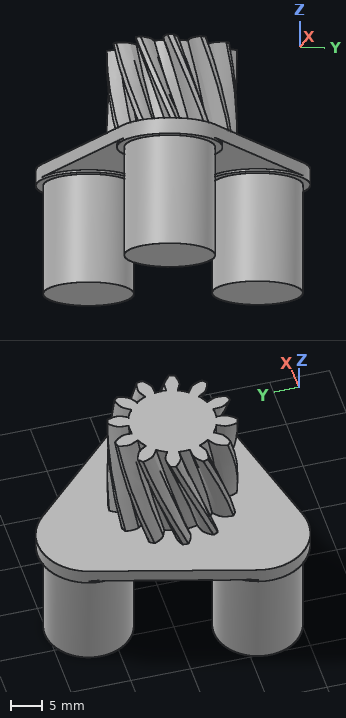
import cadquery as cq
import math

overall_width = 43.3
pad_diameter = 17.0
pin_diameter = 14.65
pin_length = 18.0
pad_thickness = 2.6
web_thickness = 2.2
lobe_angles = [105, 225, 345]
tangent_angle = 60

lobe_circle_radius = (overall_width - pad_diameter) / (
    math.cos(math.radians(lobe_angles[2])) - math.cos(math.radians(lobe_angles[1]))
)

tooth_count = 12
gear_module = 1.5
pressure_angle = math.radians(20)
gear_height = 17.65
gear_twist = 41.0
root_gap_half_angle = math.radians(7.3)
flank_steps = 5

pitch_radius = gear_module * tooth_count / 2
base_radius = pitch_radius * math.cos(pressure_angle)
tip_radius = pitch_radius + gear_module
root_radius = pitch_radius - 1.25 * gear_module
tooth_pitch = 2 * math.pi / tooth_count

pad_bottom = pin_length
web_top = pin_length + pad_thickness
web_bottom = web_top - web_thickness


def polar(radius, angle):
    return (radius * math.cos(angle), radius * math.sin(angle))


def involute_angle(radius):
    """Polar angle swept by an involute between the base circle and radius."""
    roll = math.sqrt(max((radius / base_radius) ** 2 - 1, 0))
    return roll - math.atan(roll)


def tooth_half_angle(radius):
    return tooth_pitch / 4 + involute_angle(pitch_radius) - involute_angle(radius)


def gear_outline():
    """Closed tooth profile, with a tooth gap centred on the +X axis."""
    radii = [
        base_radius + (tip_radius - base_radius) * step / flank_steps
        for step in range(flank_steps + 1)
    ]
    root_half_angle = tooth_pitch / 2 - root_gap_half_angle
    outline = cq.Workplane("XY").workplane(offset=web_top)
    outline = outline.moveTo(*polar(root_radius, root_gap_half_angle))
    for tooth in range(tooth_count):
        center = (tooth + 0.5) * tooth_pitch
        rising = [polar(r, center - tooth_half_angle(r)) for r in radii]
        falling = [polar(r, center + tooth_half_angle(r)) for r in reversed(radii)]
        next_gap = center + tooth_pitch / 2
        outline = (
            outline.lineTo(*rising[0])
            .spline(rising[1:], includeCurrent=True)
            .threePointArc(polar(tip_radius, center), falling[0])
            .spline(falling[1:], includeCurrent=True)
            .lineTo(*polar(root_radius, center + root_half_angle))
            .threePointArc(
                polar(root_radius, next_gap),
                polar(root_radius, next_gap + root_gap_half_angle),
            )
        )
    return outline.close()


def pinion():
    gear = gear_outline().twistExtrude(gear_height, -gear_twist)
    return gear.rotate((0, 0, 0), (0, 0, 1), gear_twist)


def lobe_point(lobe_angle, direction):
    """Point on a lobe's rim, in a direction measured from its outward axis."""
    angle = math.radians(lobe_angle)
    center_x, center_y = polar(lobe_circle_radius, angle)
    rim_x, rim_y = polar(pad_diameter / 2, angle + math.radians(direction))
    return (center_x + rim_x, center_y + rim_y)


def web():
    """Triangular plate whose corners are rounded concentric with the lobes."""
    outline = cq.Workplane("XY").workplane(offset=web_bottom)
    outline = outline.moveTo(*lobe_point(lobe_angles[-1], tangent_angle))
    for angle in lobe_angles:
        outline = outline.lineTo(*lobe_point(angle, -tangent_angle)).threePointArc(
            lobe_point(angle, 0), lobe_point(angle, tangent_angle)
        )
    return outline.close().extrude(web_thickness)


def lobe(angle):
    """Round pad under the web with its pin hanging below."""
    start = lobe_point(angle, -tangent_angle)
    end = lobe_point(angle, tangent_angle)
    pad = (
        cq.Workplane("XY")
        .workplane(offset=pad_bottom)
        .moveTo(*start)
        .threePointArc(lobe_point(angle, 0), end)
        .threePointArc(lobe_point(angle, 180), start)
        .close()
        .extrude(pad_thickness - web_thickness)
    )
    center = polar(lobe_circle_radius, math.radians(angle))
    pin = cq.Workplane("XY").center(*center).circle(pin_diameter / 2).extrude(pin_length)
    return pad.union(pin)


result = web()
for lobe_angle in lobe_angles:
    result = result.union(lobe(lobe_angle))
result = result.union(pinion()).clean()